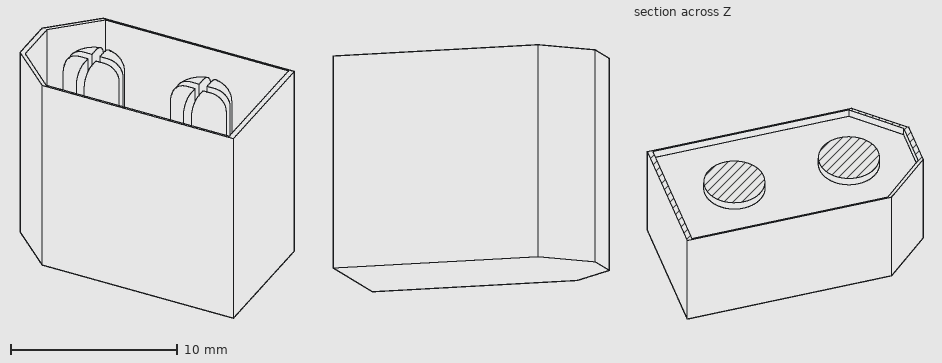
import cadquery as cq

length = 15.7
width = 8.2
height = 13.0
corner_x = 2.81
corner_y = 2.62

end_wall = 0.35
side_wall = 0.13
cavity_depth = 7.0
cavity_corner_x = 2.67
cavity_corner_y = 2.51

pin_diameter = 3.7
pin_spacing = 7.22
pin_tip_flat_diameter = 1.7
slot_width = 0.53
slot_depth = 4.71

floor_z = height - cavity_depth
pin_height = cavity_depth
tip_radius = (pin_diameter - pin_tip_flat_diameter) / 2


def clipped_block(size_x, size_y, size_z, clip_x, clip_y, base_z):
    """Centred block with both vertical corners on the -X end clipped."""
    half_x = size_x / 2
    half_y = size_y / 2
    outline = [
        (half_x, -half_y),
        (half_x, half_y),
        (-half_x + clip_x, half_y),
        (-half_x, half_y - clip_y),
        (-half_x, -half_y + clip_y),
        (-half_x + clip_x, -half_y),
    ]
    return cq.Workplane("XY").workplane(offset=base_z).polyline(outline).close().extrude(size_z)


def contact_pin():
    """Round-tipped pin with a cross slot, based at the origin."""
    pin = cq.Workplane("XY").circle(pin_diameter / 2).extrude(pin_height)
    pin = pin.faces(">Z").edges().fillet(tip_radius)
    slot_base = cq.Workplane("XY").workplane(offset=pin_height - slot_depth)
    for slot_x, slot_y in ((pin_diameter, slot_width), (slot_width, pin_diameter)):
        pin = pin.cut(slot_base.rect(slot_x, slot_y).extrude(slot_depth))
    return pin


housing = clipped_block(length, width, height, corner_x, corner_y, 0)
cavity = clipped_block(
    length - 2 * end_wall,
    width - 2 * side_wall,
    cavity_depth,
    cavity_corner_x,
    cavity_corner_y,
    floor_z,
)
result = housing.cut(cavity)

for pin_x in (-pin_spacing / 2, pin_spacing / 2):
    result = result.union(contact_pin().translate((pin_x, 0, floor_z)))